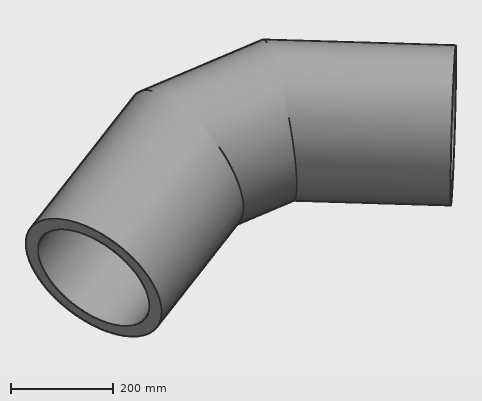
import cadquery as cq
import math

OUTER_DIAMETER = 315.0
INNER_DIAMETER = 257.8

JOINT_ANGLE = 30.0
BEND_RADIUS = 378.0
STRAIGHT_LENGTH = 242.0

tangent_length = BEND_RADIUS * math.tan(math.radians(JOINT_ANGLE / 2))
end_length = STRAIGHT_LENGTH + tangent_length
middle_length = 2 * tangent_length
segment_lengths = [end_length, middle_length, end_length]


def centreline_points():
    """Corner points of the centreline, starting along +Y and turning towards +X."""
    points = [(0.0, 0.0)]
    for index, length in enumerate(segment_lengths):
        heading = math.radians(index * JOINT_ANGLE)
        x, y = points[-1]
        points.append((x + length * math.sin(heading), y + length * math.cos(heading)))
    return points


def mitred_rod(diameter):
    """Solid round bar following the centreline, with sharp mitre joints."""
    path = cq.Workplane("XY").polyline(centreline_points())
    section = cq.Workplane("XZ").circle(diameter / 2)
    return section.sweep(path, transition="right")


result = mitred_rod(OUTER_DIAMETER).cut(mitred_rod(INNER_DIAMETER))